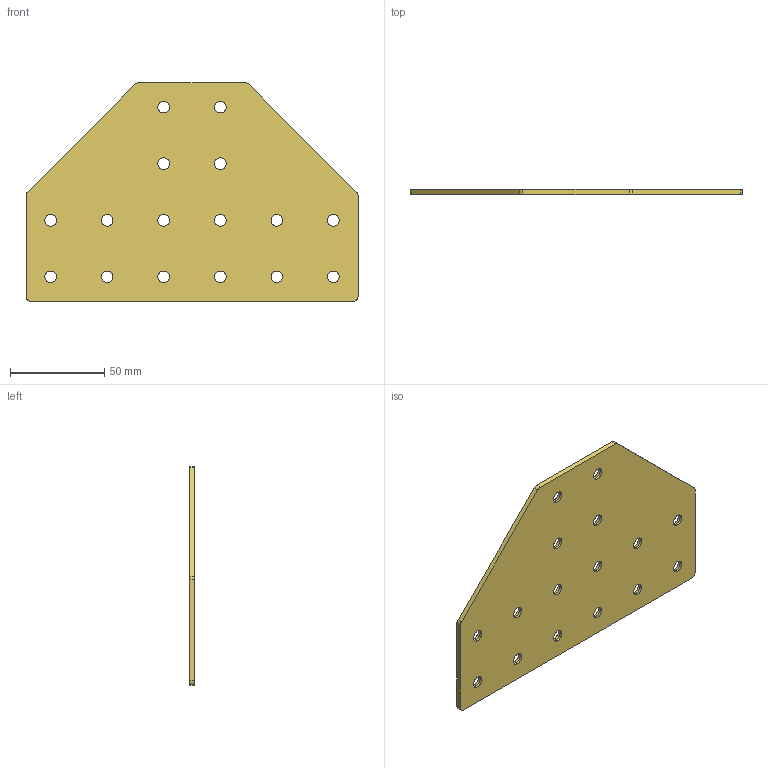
import cadquery as cq

hole_pitch = 30.0
edge_margin = 13.0
hole_diameter = 6.2
thickness = 2.5
corner_radius = 2.5
corner_cut = 58.83

wide_columns = 6
narrow_columns = 2
row_columns = [wide_columns, wide_columns, narrow_columns, narrow_columns]

width = (wide_columns - 1) * hole_pitch + 2 * edge_margin
height = (len(row_columns) - 1) * hole_pitch + 2 * edge_margin


def make_plate():
    """Rectangle with both upper corners cut off and every corner rounded."""
    half_width = width / 2
    half_top = half_width - corner_cut
    shoulder_z = height - corner_cut
    outline = [
        (-half_width, 0),
        (half_width, 0),
        (half_width, shoulder_z),
        (half_top, height),
        (-half_top, height),
        (-half_width, shoulder_z),
    ]
    plate = cq.Workplane("XZ").polyline(outline).close().extrude(thickness / 2, both=True)
    return plate.edges("|Y").fillet(corner_radius)


def hole_centres():
    """Rows of evenly spaced holes, each row centred on X = 0."""
    centres = []
    for row, columns in enumerate(row_columns):
        z = edge_margin + row * hole_pitch
        for column in range(columns):
            x = (column - (columns - 1) / 2) * hole_pitch
            centres.append((x, z))
    return centres


def make_hole_cutters():
    """Cylinders long enough to pass right through the plate."""
    circles = cq.Workplane("XZ").pushPoints(hole_centres()).circle(hole_diameter / 2)
    return circles.extrude(thickness, both=True)


result = make_plate().cut(make_hole_cutters())